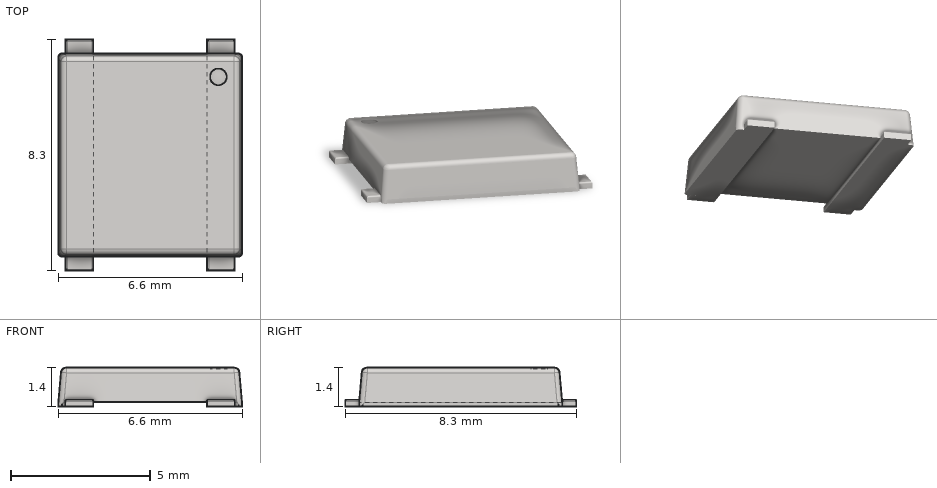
import cadquery as cq
import math

housing_length_x = 6.6
housing_length_y = 7.295
housing_height = 1.4
straight_wall_height = 0.16
draft_angle = 5.0
edge_radius = 0.2

mark_diameter = 0.6
mark_depth = 0.05
mark_x = 2.45
mark_y = 2.805

overall_length_y = 8.3
lead_width = 1.005
lead_thickness = 0.25
lead_edge_radius = 0.06
lead_offset_x = 2.54
lead_length = (overall_length_y - housing_length_y) / 2
lead_offset_y = (overall_length_y - lead_length) / 2

channel_width = 2 * lead_offset_x - lead_width


def make_lead(side_x, side_y):
    """One tab with its upper edges rounded; side_x and side_y are -1 or +1."""
    lead = cq.Workplane("XY").box(lead_width, lead_length, lead_thickness, centered=(True, True, False))
    outer_end = ">Y" if side_y > 0 else "<Y"
    lead = lead.faces(">Z").edges(f"|Y or {outer_end}").fillet(lead_edge_radius)
    return lead.translate((side_x * lead_offset_x, side_y * lead_offset_y, 0))


def make_drafted_block():
    """Drafted block with round edges, trimmed to vertical walls near the bottom."""
    flare = straight_wall_height * math.tan(math.radians(draft_angle))
    block = (
        cq.Workplane("XY")
        .rect(housing_length_x + 2 * flare, housing_length_y + 2 * flare)
        .extrude(housing_height, taper=draft_angle)
    )
    block = block.edges("not(#Z)").fillet(edge_radius)
    block = block.faces(">Z").edges().fillet(edge_radius)
    straight_walls = cq.Workplane("XY").box(
        housing_length_x, housing_length_y, housing_height, centered=(True, True, False)
    )
    return block.intersect(straight_walls)


def make_housing():
    """Housing with its bottom channel and pin 1 mark."""
    channel = cq.Workplane("XY").box(
        channel_width, housing_length_y, straight_wall_height, centered=(True, True, False)
    )
    mark = (
        cq.Workplane("XY", origin=(mark_x, mark_y, housing_height - mark_depth))
        .circle(mark_diameter / 2)
        .extrude(mark_depth)
    )
    return make_drafted_block().cut(channel).cut(mark)


leads = [make_lead(side_x, side_y) for side_x in (-1, 1) for side_y in (-1, 1)]
housing = make_housing()

result = cq.Compound.makeCompound([housing.val(), *[lead.val() for lead in leads]])